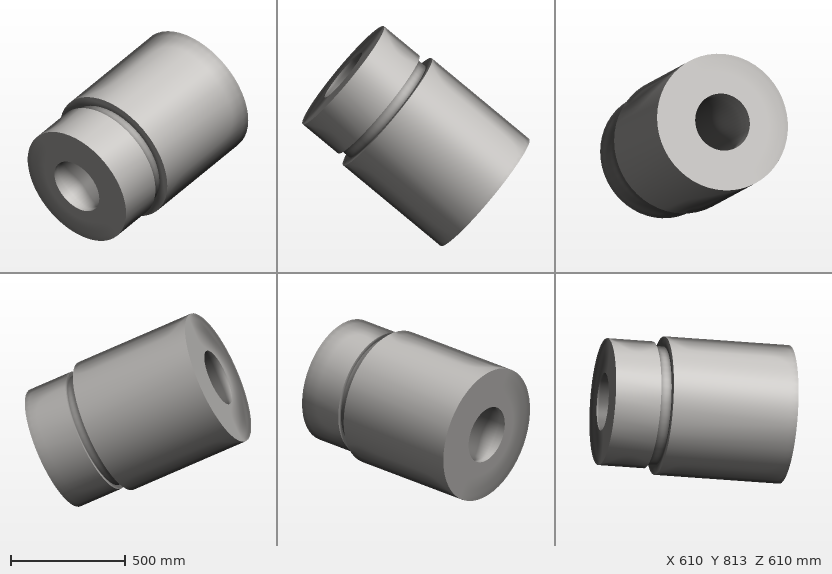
import cadquery as cq

total_length = 813.0
collar_length = 203.0
groove_length = 50.0
body_length = total_length - collar_length - groove_length

body_diameter = 610.0
collar_diameter = 558.0
groove_diameter = 520.0
bore_diameter = 254.0


def cylinder_along_y(start_y, length, diameter):
    """Solid cylinder centred on the Y axis, running from start_y toward +Y."""
    return cq.Workplane("XZ", origin=(0, start_y, 0)).circle(diameter / 2).extrude(-length)


collar = cylinder_along_y(0, collar_length, collar_diameter)
groove_core = cylinder_along_y(collar_length, groove_length, groove_diameter)
body = cylinder_along_y(collar_length + groove_length, body_length, body_diameter)

bore = cylinder_along_y(0, total_length, bore_diameter)

result = collar.union(groove_core).union(body).cut(bore)